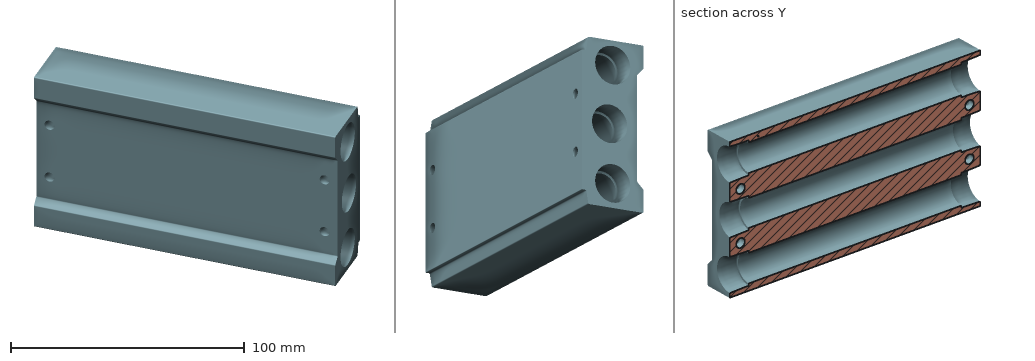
import cadquery as cq

LENGTH = 138.0
DEPTH = 30.0
HEIGHT = 75.0
HALF_HEIGHT = HEIGHT / 2

RECESS_DEPTH = 3.0
LIP_HEIGHT = 10.5
FRONT_EDGE_RADIUS = 0.5
RECESS_HALF_MOUTH = HALF_HEIGHT - LIP_HEIGHT
RECESS_HALF_FLOOR = RECESS_HALF_MOUTH - RECESS_DEPTH

PAD_INSET = 6.1
PAD_HALF_HEIGHT = HALF_HEIGHT - PAD_INSET
PAD_RAISE = 2.0
SHOULDER_LEAN = 1.05
SHOULDER_Y = DEPTH - PAD_RAISE
SHOULDER_TOP_Y = SHOULDER_Y - SHOULDER_LEAN
PAD_EDGE_RADIUS = 0.3
SHOULDER_RADIUS = 0.6

GALLERY_DIAMETER = 14.5
GALLERY_SPACING = 26.5
OUTER_GALLERY_Y = 15.0
MIDDLE_GALLERY_Y = 16.5
PORT_MOUTH_DIAMETER = 17.2
PORT_INNER_DIAMETER = 16.6
PORT_DEPTH = 10.4

MOUNT_DIAMETER = 4.5
MOUNT_END_INSET = 6.0
MOUNT_SPACING_X = LENGTH - 2 * MOUNT_END_INSET
MOUNT_SPACING_Z = 26.0


def make_body():
    """Extrude the YZ section along X, with its long edges rounded."""
    upper_half = [
        (RECESS_DEPTH, RECESS_HALF_FLOOR),
        (0, RECESS_HALF_MOUTH),
        (0, HALF_HEIGHT),
        (SHOULDER_TOP_Y, HALF_HEIGHT),
        (SHOULDER_Y, PAD_HALF_HEIGHT),
        (DEPTH, PAD_HALF_HEIGHT),
    ]
    lower_half = [(y, -z) for y, z in reversed(upper_half)]
    body = (
        cq.Workplane("YZ")
        .polyline(upper_half + lower_half)
        .close()
        .extrude(LENGTH / 2, both=True)
    )
    front_half = cq.selectors.BoxSelector(
        (-LENGTH, -DEPTH / 2, -HEIGHT),
        (LENGTH, DEPTH / 2, HEIGHT),
    )
    body = body.edges("|X").edges(front_half).fillet(FRONT_EDGE_RADIUS)
    body = body.edges("|X and >Y").fillet(PAD_EDGE_RADIUS)
    shoulder_corners = [(SHOULDER_TOP_Y, HALF_HEIGHT), (SHOULDER_Y, PAD_HALF_HEIGHT)]
    for shoulder_y, shoulder_z in shoulder_corners:
        for side in (1, -1):
            corner = cq.selectors.NearestToPointSelector((0, shoulder_y, side * shoulder_z))
            body = body.edges("|X").edges(corner).fillet(SHOULDER_RADIUS)
    return body


def make_gallery(y, z):
    """Bore along X over the full length, with a conical port at both ends."""
    gallery = (
        cq.Workplane("YZ")
        .center(y, z)
        .circle(GALLERY_DIAMETER / 2)
        .extrude(LENGTH / 2, both=True)
    )
    port = (
        cq.Workplane("YZ", origin=(-LENGTH / 2, y, z))
        .circle(PORT_MOUTH_DIAMETER / 2)
        .workplane(offset=PORT_DEPTH)
        .circle(PORT_INNER_DIAMETER / 2)
        .loft()
    )
    return gallery.union(port).union(port.mirror("YZ"))


def make_mount_holes():
    """Rectangular pattern of plain holes running along Y."""
    return (
        cq.Workplane("XZ")
        .rarray(MOUNT_SPACING_X, MOUNT_SPACING_Z, 2, 2)
        .circle(MOUNT_DIAMETER / 2)
        .extrude(-DEPTH)
    )


gallery_centers = [
    (OUTER_GALLERY_Y, GALLERY_SPACING),
    (MIDDLE_GALLERY_Y, 0),
    (OUTER_GALLERY_Y, -GALLERY_SPACING),
]

result = make_body().cut(make_mount_holes())
for center_y, center_z in gallery_centers:
    result = result.cut(make_gallery(center_y, center_z))